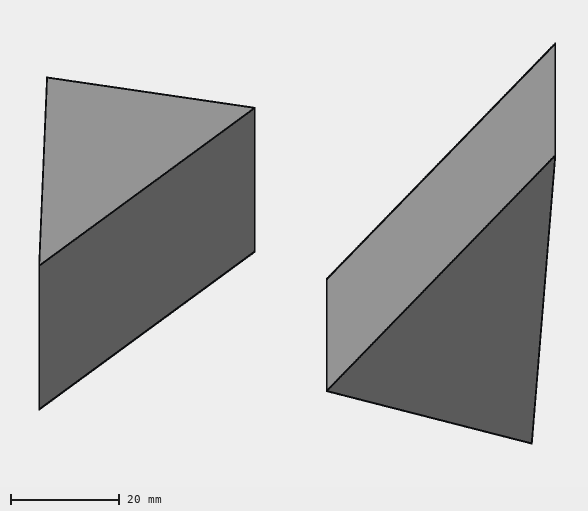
import cadquery as cq

width = 40.0
length = 70.0
height = 30.0

wedge_outline = [
    (0, 0),
    (width / 2, length),
    (-width / 2, length),
]

result = cq.Workplane("XY").polyline(wedge_outline).close().extrude(height)